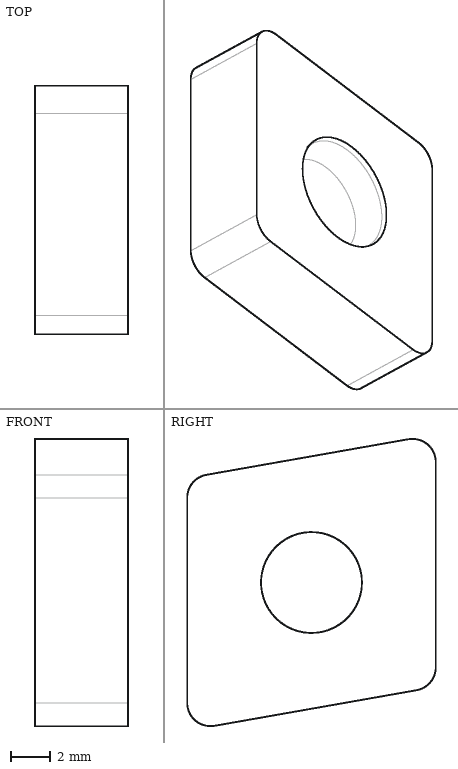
import cadquery as cq
import math

thickness = 4.76
inscribed_diameter = 12.7
nose_angle = 80.0
corner_radius = 1.2

bore_diameter = 5.14
mouth_diameter = 6.08
entry_diameter = 5.94
entry_depth = 0.29
throat_length = 1.48

half_width = inscribed_diameter / 2
edge_length = inscribed_diameter / math.sin(math.radians(nose_angle))
edge_rise = inscribed_diameter / math.tan(math.radians(nose_angle))


def make_body():
    """Rhombic prism centred on the X axis, from x = 0 to x = thickness."""
    tall = (edge_length + edge_rise) / 2
    short = (edge_length - edge_rise) / 2
    corners = [
        (half_width, tall),
        (half_width, -short),
        (-half_width, -tall),
        (-half_width, short),
    ]
    prism = cq.Workplane("YZ").polyline(corners).close().extrude(thickness)
    return prism.edges("|X").fillet(corner_radius)


def make_hole():
    """Solid of revolution about X that removes the hole, its mouth at x = 0."""
    bore_radius = bore_diameter / 2
    entry_radius = entry_diameter / 2
    bore_start = entry_depth + throat_length

    throat_drop = entry_radius - bore_radius
    throat_radius = (throat_length**2 + throat_drop**2) / (2 * throat_drop)
    half_sweep = math.asin(throat_length / throat_radius) / 2
    throat_mid = (
        bore_start - throat_radius * math.sin(half_sweep),
        bore_radius + throat_radius * (1 - math.cos(half_sweep)),
    )

    profile = (
        cq.Workplane("XY")
        .lineTo(0, mouth_diameter / 2)
        .lineTo(entry_depth, entry_radius)
        .threePointArc(throat_mid, (bore_start, bore_radius))
        .lineTo(thickness, bore_radius)
        .lineTo(thickness, 0)
        .close()
    )
    return profile.revolve(360, (0, 0, 0), (1, 0, 0))


result = make_body().cut(make_hole())